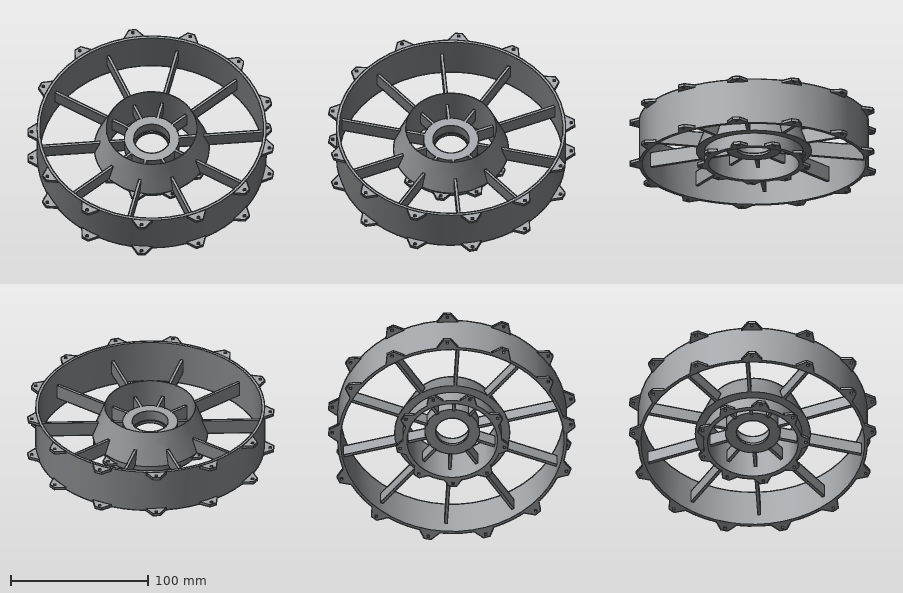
import cadquery as cq
import math

rim_height = 34.0
rim_outer_radius = 167.0 / 2
rim_inner_radius = 163.0 / 2

lug_thickness = 2.0
lug_reach = 6.65
lug_base_half_width = 7.5
lug_tip_half_width = 2.6
lug_hole_radius = 2.0 / 2
lug_hole_offset = 4.15
rim_lug_count = 13
rim_edge_step = 0.1
collar_lug_count = 9

spoke_bottom = 10.0
spoke_top = 21.0
spoke_width = 2.0
spoke_count = 10

hub_top = spoke_top
hub_radius = 20.0
bore_radius = 26.2 / 2
lip_radius = 24.2 / 2
seat_depth = 8.0
lip_thickness = 2.0
lip_top = hub_top - seat_depth
hub_bottom = lip_top - lip_thickness

cone_inner_radius = 66.0 / 2
cone_base_radius = 42.0
cone_bottom = spoke_bottom
collar_wall = 3.0
collar_radius = cone_inner_radius + collar_wall
collar_lug_seat_radius = cone_inner_radius + collar_wall / 2

overlap = 0.5


def tube(outer_radius, inner_radius, bottom, top):
    """Upright tube between two heights."""
    profile = cq.Workplane("XY").workplane(offset=bottom).circle(outer_radius).circle(inner_radius)
    return profile.extrude(top - bottom)


def make_lug(seat_radius, bottom):
    """Tapered lug pointing along +X, with its base corners on a circle of the seat radius."""
    base_x = math.sqrt(seat_radius**2 - lug_base_half_width**2)
    root_x = base_x - overlap
    tip_x = seat_radius + lug_reach
    outline = [
        (root_x, -lug_base_half_width),
        (base_x, -lug_base_half_width),
        (tip_x, -lug_tip_half_width),
        (tip_x, lug_tip_half_width),
        (base_x, lug_base_half_width),
        (root_x, lug_base_half_width),
    ]
    base_plane = cq.Workplane("XY").workplane(offset=bottom)
    plate = base_plane.polyline(outline).close().extrude(lug_thickness)
    hole_x = seat_radius + lug_hole_offset
    hole = base_plane.center(hole_x, 0).circle(lug_hole_radius).extrude(lug_thickness)
    return plate.cut(hole)


def add_around(body, feature, count):
    """Join evenly spaced copies of a feature around the Z axis, the first one on +X."""
    for index in range(count):
        copy = feature.rotate((0, 0, 0), (0, 0, 1), index * 360.0 / count)
        body = body.union(copy)
    return body


def make_rim():
    """Outer band with a ring of lugs at each of its two edges."""
    rim = tube(rim_outer_radius, rim_inner_radius, 0, rim_height)
    upper_lug_bottom = rim_height - rim_edge_step - lug_thickness
    for lug_bottom in (0, upper_lug_bottom):
        rim = add_around(rim, make_lug(rim_outer_radius, lug_bottom), rim_lug_count)
    return rim


def make_cone():
    """Cone with a straight bore, tapering to a sharp upper edge, above a collar with lugs."""
    section = [
        (cone_inner_radius, 0),
        (collar_radius, 0),
        (collar_radius, cone_bottom),
        (cone_base_radius, cone_bottom),
        (cone_inner_radius, rim_height),
    ]
    cone = cq.Workplane("XZ").polyline(section).close().revolve(360, (0, 0, 0), (0, 1, 0))
    return add_around(cone, make_lug(collar_lug_seat_radius, 0), collar_lug_count)


def make_hub():
    """Bearing seat with a narrow lip at the bottom of its bore."""
    seat = tube(hub_radius, bore_radius, lip_top, hub_top)
    lip = tube(hub_radius, lip_radius, hub_bottom, lip_top)
    return seat.union(lip)


def make_spoke():
    """Flat bar along +X from the hub to the rim, passing through the cone wall."""
    start = hub_radius - overlap
    length = rim_inner_radius + overlap - start
    height = spoke_top - spoke_bottom
    bar = cq.Workplane("XY").box(length, spoke_width, height, centered=(False, True, False))
    return bar.translate((start, 0, spoke_bottom))


separate_rings = make_rim().union(make_cone()).union(make_hub())
result = add_around(separate_rings, make_spoke(), spoke_count)